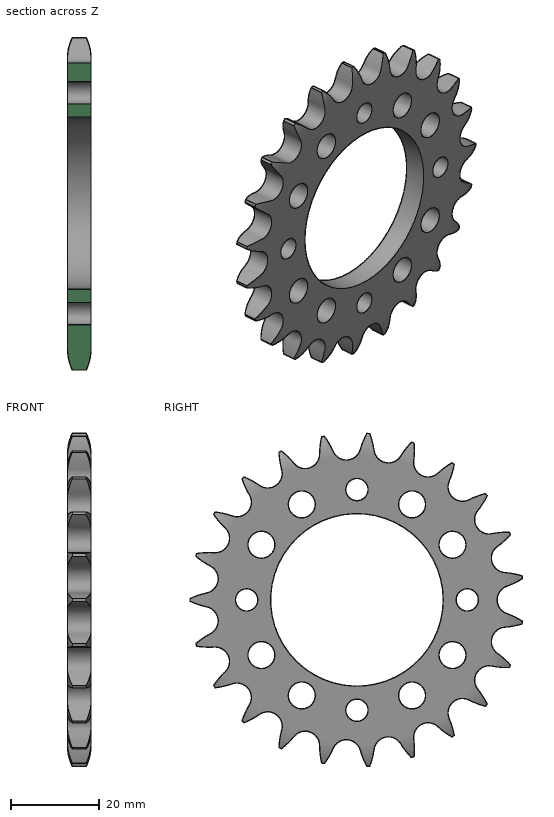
import cadquery as cq
import math

OUTER_SIZE = 75.35
THICKNESS = 5.35
BORE_DIAMETER = 38.95
TOOTH_COUNT = 23
FIRST_TOOTH_ANGLE = 180.0

PITCH_RADIUS = 35.0
SEAT_RADIUS = 3.25
SEAT_HALF_ANGLE = 68.0
FLANK_RADIUS = 18.85
TIP_HALF_ANGLE = 0.5
TIP_THICKNESS = 3.2
RELIEF_RADIUS = 33.0

BOLT_CIRCLE_RADIUS = 24.95
BOLT_COUNT = 12
SMALL_HOLE_DIAMETER = 5.0
LARGE_HOLE_DIAMETER = 6.0
SMALL_HOLE_SPACING = 3

TOOTH_STEP = 360.0 / TOOTH_COUNT
NEAREST_TOOTH = round((FIRST_TOOTH_ANGLE - 90.0) / TOOTH_STEP)
TOP_TOOTH_OFFSET = abs(FIRST_TOOTH_ANGLE - NEAREST_TOOTH * TOOTH_STEP - 90.0)
TIP_RADIUS = OUTER_SIZE / 2 / math.cos(math.radians(TOP_TOOTH_OFFSET - TIP_HALF_ANGLE))


def polar(radius, angle):
    """Point at a radius and an angle in degrees."""
    return (radius * math.cos(math.radians(angle)), radius * math.sin(math.radians(angle)))


def seat_point(seat_angle, offset):
    """Point on the roller seat, at an angular offset from its deepest point."""
    centre = polar(PITCH_RADIUS, seat_angle)
    step = polar(SEAT_RADIUS, seat_angle + 180.0 + offset)
    return (centre[0] + step[0], centre[1] + step[1])


def flank_sagitta(start, end):
    """Bulge of the flank arc over the chord between two points."""
    half_chord = math.dist(start, end) / 2
    return FLANK_RADIUS - math.sqrt(FLANK_RADIUS**2 - half_chord**2)


def toothed_blank():
    """Plate with the full tooth outline, centred on X = 0."""
    outline = cq.Workplane("YZ", origin=(-THICKNESS / 2, 0, 0))
    start = seat_point(FIRST_TOOTH_ANGLE - TOOTH_STEP / 2, -SEAT_HALF_ANGLE)
    outline = outline.moveTo(*start)
    for index in range(TOOTH_COUNT):
        tooth_angle = FIRST_TOOTH_ANGLE + index * TOOTH_STEP
        seat_angle = tooth_angle + TOOTH_STEP / 2
        rising_base = seat_point(seat_angle - TOOTH_STEP, -SEAT_HALF_ANGLE)
        falling_base = seat_point(seat_angle, SEAT_HALF_ANGLE)
        tip_start = polar(TIP_RADIUS, tooth_angle - TIP_HALF_ANGLE)
        tip_end = polar(TIP_RADIUS, tooth_angle + TIP_HALF_ANGLE)
        bulge = -flank_sagitta(rising_base, tip_start)
        outline = outline.sagittaArc(tip_start, bulge)
        outline = outline.threePointArc(polar(TIP_RADIUS, tooth_angle), tip_end)
        outline = outline.sagittaArc(falling_base, bulge)
        next_base = seat_point(seat_angle, -SEAT_HALF_ANGLE)
        outline = outline.threePointArc(seat_point(seat_angle, 0.0), next_base)
    return outline.close().extrude(THICKNESS)


def relieved_disc():
    """Disc whose rim is rounded on both sides, each arc tangent to its face."""
    half_profile = (
        cq.Workplane("XY")
        .lineTo(-THICKNESS / 2, 0)
        .lineTo(-THICKNESS / 2, RELIEF_RADIUS)
        .tangentArcPoint((-TIP_THICKNESS / 2, TIP_RADIUS), relative=False)
        .lineTo(0, TIP_RADIUS)
        .close()
    )
    half_disc = half_profile.revolve(360, (0, 0, 0), (1, 0, 0))
    return half_disc.union(half_disc.mirror("YZ"))


def cylinder_along_x(diameter, centre):
    """Cutter through the full thickness at a (Y, Z) position."""
    plane = cq.Workplane("YZ", origin=(-THICKNESS / 2, 0, 0))
    return plane.center(*centre).circle(diameter / 2).extrude(THICKNESS)


def bolt_hole(index):
    """Cutter for one hole of the bolt circle."""
    is_small = index % SMALL_HOLE_SPACING == 0
    diameter = SMALL_HOLE_DIAMETER if is_small else LARGE_HOLE_DIAMETER
    return cylinder_along_x(diameter, polar(BOLT_CIRCLE_RADIUS, index * 360.0 / BOLT_COUNT))


result = toothed_blank().intersect(relieved_disc())
result = result.cut(cylinder_along_x(BORE_DIAMETER, (0, 0)))
for hole_index in range(BOLT_COUNT):
    result = result.cut(bolt_hole(hole_index))